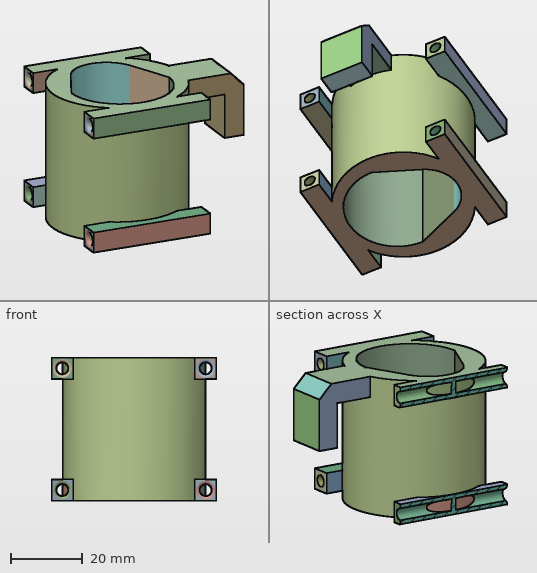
import cadquery as cq
import math

height = 40.0
barrel_radius = height / 2
overall_length = 56.0
overall_width = 46.0

rail_size = 6.0
rail_length = 36.0
rail_x = (overall_width - rail_size) / 2
rail_hole_diameter = 3.3
hole_mouth_radius = 0.98

large_bore_radius = 15.0
large_bore_x = 2.0
small_bore_radius = 10.0
small_bore_x = -7.0

arm_width = 13.0
hook_drop = 19.0
hook_chamfer = 4.0
arm_end_y = overall_length - barrel_radius


def make_barrel():
    return cq.Workplane("XY").circle(barrel_radius).extrude(height)


def make_bore():
    """Bore whose flanks start at the +Y and -Y extremes of the large arc and are tangent to the small arc."""
    center_spacing = large_bore_x - small_bore_x
    reach = math.hypot(center_spacing, large_bore_radius)
    tangent_angle = math.atan2(large_bore_radius, center_spacing) + math.acos(small_bore_radius / reach)
    tangent_x = small_bore_x + small_bore_radius * math.cos(tangent_angle)
    tangent_y = small_bore_radius * math.sin(tangent_angle)
    return (
        cq.Workplane("XY")
        .moveTo(large_bore_x, -large_bore_radius)
        .threePointArc((large_bore_x + large_bore_radius, 0), (large_bore_x, large_bore_radius))
        .lineTo(tangent_x, tangent_y)
        .threePointArc((small_bore_x - small_bore_radius, 0), (tangent_x, -tangent_y))
        .close()
        .extrude(height)
    )


def make_rail(x, z):
    """Rail with a lengthwise hole whose front mouth is rounded."""
    return (
        cq.Workplane("XZ", origin=(x, 0, z))
        .rect(rail_size, rail_size)
        .circle(rail_hole_diameter / 2)
        .extrude(rail_length / 2, both=True)
        .faces("<Y")
        .edges("%CIRCLE")
        .fillet(hole_mouth_radius)
    )


def make_arm():
    """Arm as thick as a rail, with its end turned down into a hook."""
    underside_z = height - rail_size
    hook_inner_y = arm_end_y - rail_size
    return (
        cq.Workplane("YZ")
        .moveTo(0, height)
        .lineTo(arm_end_y - hook_chamfer, height)
        .lineTo(arm_end_y, height - hook_chamfer)
        .lineTo(arm_end_y, height - hook_drop)
        .lineTo(hook_inner_y, height - hook_drop)
        .lineTo(hook_inner_y, underside_z)
        .lineTo(0, underside_z)
        .close()
        .extrude(arm_width / 2, both=True)
    )


body = make_barrel().union(make_arm())
for side in (-1, 1):
    for rail_z in (rail_size / 2, height - rail_size / 2):
        body = body.union(make_rail(side * rail_x, rail_z))

result = body.cut(make_bore())